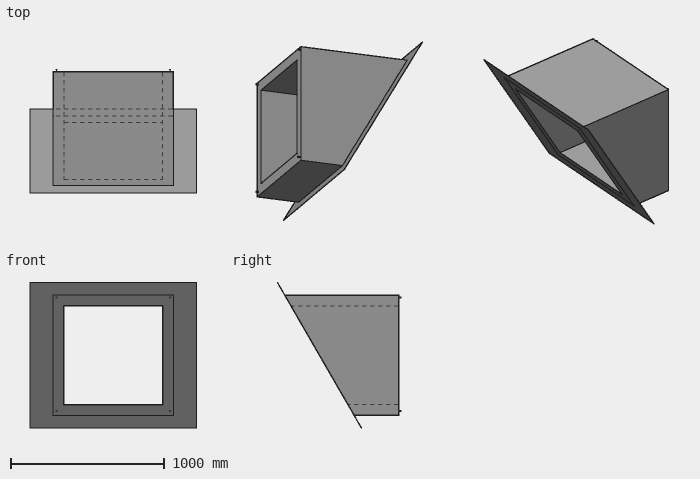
import cadquery as cq
import math

width = 1085.0
depth = 806.0
height = 948.0

lean_angle = math.radians(30.0)
flange_thickness = 1.0

duct_size = 783.0
duct_opening = 642.0

hook_length = 15.0
hook_height = 8.0
hook_spacing = 740.0
hook_rise = 7.0
web_thickness = 1.0
head_width = 8.0
head_thickness = 1.0
embed = 2.0

duct_back = depth - hook_length
end_rise = flange_thickness * math.sin(lean_angle)
end_run = flange_thickness * math.cos(lean_angle)
top_front_z = height / 2 - end_rise


def front_y(z):
    """Y of the front plane of the flange at height z."""
    return (top_front_z - z) * math.tan(lean_angle)


def side_prism(points, size_x):
    """Extrude a (Y, Z) outline symmetrically about X = 0."""
    return cq.Workplane("YZ").polyline(points).close().extrude(size_x / 2, both=True)


def make_flange():
    """Thin plate with square-cut top and bottom ends."""
    bottom_z = -height / 2
    bottom_y = front_y(bottom_z)
    outline = [
        (0, top_front_z),
        (end_run, height / 2),
        (bottom_y + end_run, bottom_z + end_rise),
        (bottom_y, bottom_z),
    ]
    return side_prism(outline, width)


def make_duct():
    """Square block whose front is cut flush with the flange face."""
    half = duct_size / 2
    outline = [
        (front_y(half), half),
        (duct_back, half),
        (duct_back, -half),
        (front_y(-half), -half),
    ]
    return side_prism(outline, duct_size)


def make_hook(x, z):
    """T-shaped hook: a thin web ending in a wider head."""
    web_length = hook_length + embed
    web = cq.Workplane("XY").box(web_thickness, web_length, hook_height)
    web = web.translate((x, depth - web_length / 2, z))
    head = cq.Workplane("XY").box(head_width, head_thickness, hook_height)
    head = head.translate((x, depth - head_thickness / 2, z))
    return web.union(head)


body = make_flange().union(make_duct())
opening = cq.Workplane("XY").box(duct_opening, 2 * depth, duct_opening)
result = body.cut(opening)
for side in (-1, 1):
    for level in (-1, 1):
        hook_x = side * hook_spacing / 2
        hook_z = level * hook_spacing / 2 + hook_rise
        result = result.union(make_hook(hook_x, hook_z))